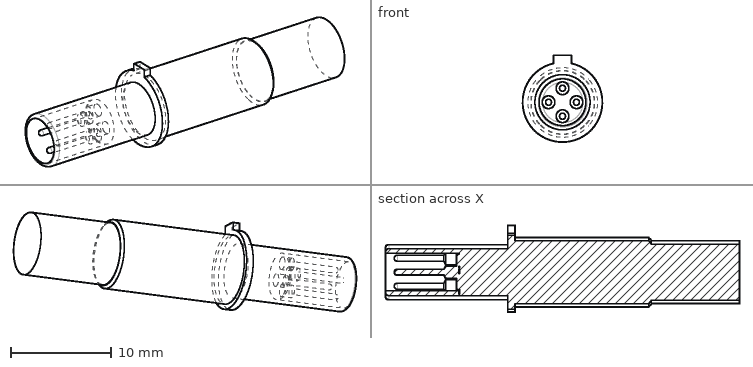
import cadquery as cq
import math

TOTAL_LENGTH = 35.35

TUBE_RADIUS = 2.75
TUBE_RIM_FILLET = 0.32
BORE_RADIUS = 2.35

FLANGE_START = 12.2
FLANGE_THICKNESS = 0.75
FLANGE_DIAMETER = 8.0
KEY_WIDTH = 1.8
FLANGE_HEIGHT_WITH_KEY = 8.7
KEY_FILLET = 0.1

BODY_DIAMETER = 6.95
SLEEVE_RADIUS = 3.15
SLEEVE_LENGTH = 8.8
BODY_CHAMFER = 0.3

INSULATOR_DEPTH = 7.07
INSULATOR_FILLET = 0.32

PIN_COUNT = 4
PIN_CIRCLE_DIAMETER = 2.8
PIN_BASE_RADIUS = 0.65
PIN_BASE_HEIGHT = 1.05
PIN_SHOULDER_LENGTH = 0.18
PIN_RADIUS = 0.3
PIN_TIP_DEPTH = 0.9

KEY_TOP = FLANGE_HEIGHT_WITH_KEY - FLANGE_DIAMETER / 2
FLANGE_END = FLANGE_START + FLANGE_THICKNESS
SLEEVE_START = TOTAL_LENGTH - SLEEVE_LENGTH


def rod(radius, start, end):
    """Solid cylinder along Y between two stations."""
    return cq.Workplane("XZ", origin=(0, start, 0)).circle(radius).extrude(start - end)


def make_tube():
    """Open tube whose bore is filled up to the face of the round-edged insulator."""
    tube = rod(TUBE_RADIUS, 0, FLANGE_START).faces("<Y").edges().fillet(TUBE_RIM_FILLET)
    bore = rod(BORE_RADIUS, 0, FLANGE_START)
    insulator = rod(BORE_RADIUS, INSULATOR_DEPTH, FLANGE_START)
    insulator = insulator.faces("<Y").edges().fillet(INSULATOR_FILLET)
    return tube.cut(bore.cut(insulator))


def make_flange():
    """Thin round flange with a keying tab on its +Z side."""
    disc = rod(FLANGE_DIAMETER / 2, FLANGE_START, FLANGE_END)
    key = (
        cq.Workplane("XY")
        .box(KEY_WIDTH, FLANGE_THICKNESS, KEY_TOP, centered=(True, False, False))
        .translate((0, FLANGE_START, 0))
        .edges("|Y and >Z")
        .fillet(KEY_FILLET)
    )
    return disc.union(key)


def make_body():
    """Main barrel, chamfered down to the slimmer cable sleeve."""
    body = rod(BODY_DIAMETER / 2, FLANGE_END, SLEEVE_START)
    body = body.faces(">Y").chamfer(BODY_CHAMFER)
    return body.union(rod(SLEEVE_RADIUS, SLEEVE_START, TOTAL_LENGTH))


def make_pin():
    """Stepped contact pin on the axis: base with conical shoulder, thin shaft with domed tip."""
    shoulder_end = INSULATOR_DEPTH - PIN_BASE_HEIGHT
    shoulder_start = shoulder_end - PIN_SHOULDER_LENGTH
    dome_end = PIN_TIP_DEPTH + PIN_RADIUS
    dome_offset = PIN_RADIUS * math.sqrt(0.5)
    return (
        cq.Workplane("XY")
        .moveTo(0, PIN_TIP_DEPTH)
        .threePointArc((dome_offset, dome_end - dome_offset), (PIN_RADIUS, dome_end))
        .lineTo(PIN_RADIUS, shoulder_start)
        .lineTo(PIN_BASE_RADIUS, shoulder_end)
        .lineTo(PIN_BASE_RADIUS, FLANGE_START)
        .lineTo(0, FLANGE_START)
        .close()
        .revolve(360, (0, 0, 0), (0, 1, 0))
    )


result = make_tube().union(make_flange()).union(make_body())

for index in range(PIN_COUNT):
    pin = make_pin().translate((PIN_CIRCLE_DIAMETER / 2, 0, 0))
    result = result.union(pin.rotate((0, 0, 0), (0, 1, 0), index * 360 / PIN_COUNT))